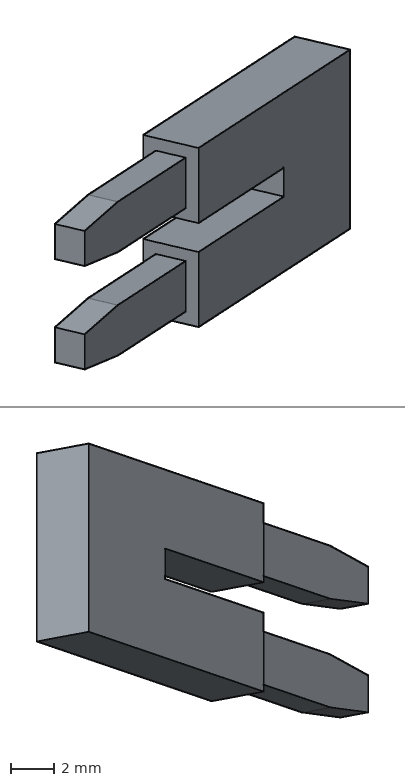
import cadquery as cq

total_length = 22.68
body_width = 3.0
body_height = 9.0
body_length = 13.6

slot_depth = 7.67
slot_height = 1.45

prong_width = 1.6
prong_height = 2.55
prong_pitch = 5.2
tip_length = 3.0
tip_height = 1.77

prong_length = total_length - body_length


def make_body():
    """Block with its front face at Y = 0, slotted through its width."""
    block = cq.Workplane("XY").box(
        body_width, body_length, body_height, centered=(True, False, True)
    )
    slot = cq.Workplane("XY").box(
        body_width, slot_depth, slot_height, centered=(True, False, True)
    )
    return block.cut(slot)


def make_prong(center_z):
    """Prong from the body front face, narrowing in height toward its tip."""
    half_height = prong_height / 2
    half_tip = tip_height / 2
    taper_start = tip_length - prong_length
    outline = [
        (0, -half_height),
        (0, half_height),
        (taper_start, half_height),
        (-prong_length, half_tip),
        (-prong_length, -half_tip),
        (taper_start, -half_height),
    ]
    return (
        cq.Workplane("YZ")
        .polyline(outline)
        .close()
        .extrude(prong_width / 2, both=True)
        .translate((0, 0, center_z))
    )


result = make_body()
for side in (-1, 1):
    result = result.union(make_prong(side * prong_pitch / 2))